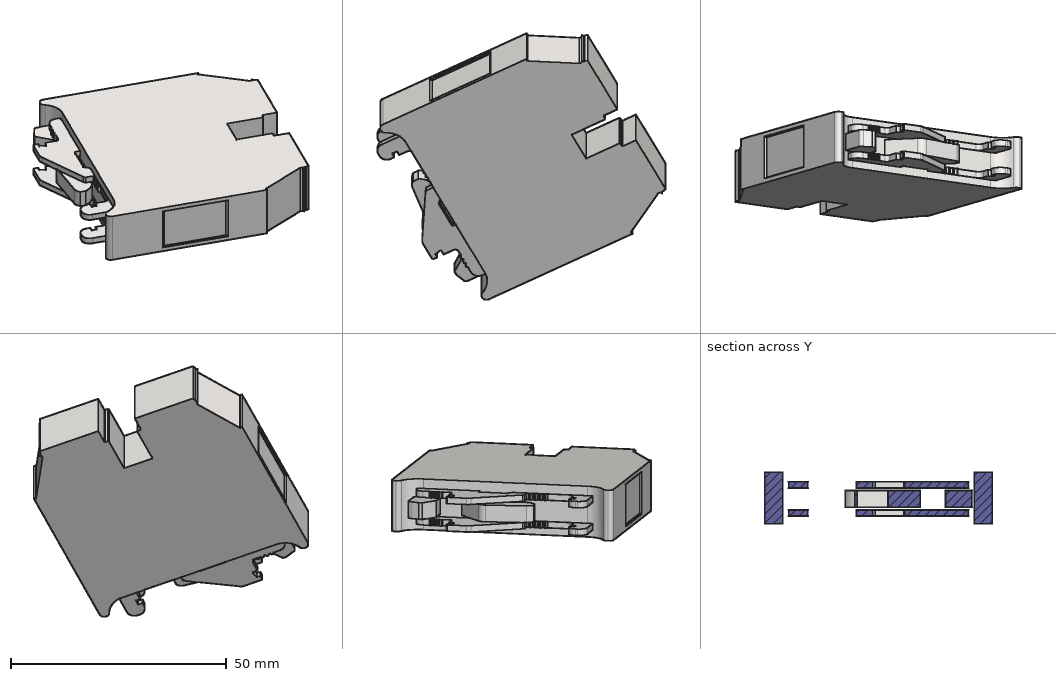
import cadquery as cq


total_height = 57.1
width = 52.8
thickness = 12.0
top_y = 47.5
half_width = width / 2

shoulder_y = top_y - 12.3
shoulder_lip = 0.5
shoulder_groove = 0.2
crown_half_width = 19.65
crown_base_y = top_y - 2.05
bead_low_y = top_y - 1.5
bead_tip_y = top_y - 1.25
bead_high_y = top_y - 0.95
bead_height = 0.45
crown_chamfer_width = 0.2
crown_chamfer_height = 0.6

slot_half_width = 3.6
slot_depth = 12.5
slot_mouth_half_width = 4.6
slot_mouth_depth = 3.65
slot_step_chamfer = 0.2

horn_tip_y = -3.65
horn_radius = 1.15
horn_inner_inset = 2.35
horn_inner_y = -2.85
hollow_radius = 4.9
hollow_end_inset = 6.85

recess_y_min = 9.8
recess_y_max = 25.75
recess_height = 9.95
recess_depth = 0.35
recess_end_taper = 0.45
recess_side_taper = 0.2

foot_plane_z = -0.2
plate_thickness = 1.5
plate_inner_offset = 2.5
latch_thickness = 3.95
root_y = 0.55

plate_half_length = 20.9
rail_y = -0.15
pad_y = -3.25
pad_corner_radius = 2.0
pad_tooth_first_x = -16.95
pad_tooth_count = 3
pad_tooth_base = 0.85
pad_tooth_tip = 0.45
pad_tooth_depth = 0.35
tooth_pitch = 1.2
hook_left = -11.8
hook_corner_radius = 0.8
hook_notch_top_y = -6.7
hook_notch_bottom_y = -8.35
hook_notch_top_x = -10.5
hook_notch_chamfer = 0.2
hook_notch_bottom_x = -10.9
hook_toe_chamfer = 0.3
hook_bottom_y = top_y - total_height
hook_bottom_right = -7.0
ramp_start = (-6.05, -9.25)
hook_corner_blend_radius = 1.8
ramp_end = (4.85, -2.6)
ramp_right = 5.2
ramp_top_y = -2.2
ramp_neck_y = -0.35
rail_tooth_first_x = 6.1
rail_tooth_count = 4
rail_tooth_base = 0.9
rail_tooth_tip = 0.15
rail_tooth_depth = 0.5
lug_left = 16.5
lug_corner_radius = 1.25
lug_notch_top_y = -3.4
lug_notch_bottom_y = -4.7
lug_notch_depth = 1.1
lug_bottom_y = -7.6
lug_tip_radius = 1.95

window_left = -6.05
window_right = 1.8
window_bottom_right = 0.75
window_bottom_y = -1.35
window_chamfer = 0.2

toe_left = -21.7
toe_right = -15.55
toe_side_y = -5.7
toe_arc_mid = (-21.55, -6.1)
toe_arc_end = (-20.95, -6.4)
toe_flat_left = (-18.95, -7.15)
toe_flat_right = (-18.1, -7.15)
toe_slope_top_y = -3.65
tongue_left = -10.4
tongue_root_right = -2.15
tongue_knee_start = (-5.1, -5.65)
tongue_knee_mid = (-4.35, -6.3)
tongue_knee_end = (-3.2, -6.45)
tongue_tip_low = (6.3, -5.3)
tongue_tip_low_mid = (7.25, -4.9)
tongue_tip_right = 7.75
tongue_tip_right_low_y = -4.3
tongue_tip_right_high_y = -2.95
tongue_tip_high_mid = (6.85, -1.65)
tongue_tip_high = (5.35, -0.6)
tongue_crotch_y = -2.4


def mirrored(points):
    """Points reflected across X = 0, in reverse order."""
    return [(-x, y) for x, y in reversed(points)]


def shoulder_profile():
    """Right half of the housing edge, from the slot floor out to the straight side."""
    slot_floor_y = top_y - slot_depth
    mouth_y = top_y - slot_mouth_depth
    return [
        (slot_half_width, slot_floor_y),
        (slot_half_width, mouth_y - slot_step_chamfer),
        (slot_half_width + slot_step_chamfer, mouth_y),
        (slot_mouth_half_width - slot_step_chamfer, mouth_y),
        (slot_mouth_half_width, mouth_y + slot_step_chamfer),
        (slot_mouth_half_width, top_y),
        (crown_half_width - crown_chamfer_width, top_y),
        (crown_half_width, top_y - crown_chamfer_height),
        (crown_half_width, bead_high_y),
        (crown_half_width + bead_height, bead_tip_y),
        (crown_half_width, bead_low_y),
        (crown_half_width, crown_base_y),
        (half_width - shoulder_lip, shoulder_y - shoulder_groove),
        (half_width - shoulder_lip, shoulder_y),
        (half_width, shoulder_y),
    ]


def make_housing():
    right_edge = shoulder_profile()
    side = (half_width, horn_tip_y + horn_radius)
    tip = (half_width - horn_radius, horn_tip_y)
    inner = (half_width - horn_inner_inset, horn_inner_y)
    hollow_end = (half_width - hollow_end_inset, 0)
    hollow_end_left, inner_left, tip_left, side_left = mirrored([side, tip, inner, hollow_end])
    outline = (
        cq.Workplane("XY")
        .polyline(right_edge + [side])
        .radiusArc(tip, horn_radius)
        .radiusArc(inner, horn_radius)
        .radiusArc(hollow_end, -hollow_radius)
        .lineTo(*hollow_end_left)
        .radiusArc(inner_left, -hollow_radius)
        .radiusArc(tip_left, horn_radius)
        .radiusArc(side_left, horn_radius)
    )
    for point in mirrored(right_edge):
        outline = outline.lineTo(*point)
    return outline.close().extrude(thickness / 2, both=True)


def make_label_recess(side):
    """Tapered pocket cutter for the side at X = side * half_width."""
    length = recess_y_max - recess_y_min
    middle_y = (recess_y_min + recess_y_max) / 2
    floor_length = length - 2 * recess_end_taper
    floor_height = recess_height - 2 * recess_side_taper
    return (
        cq.Workplane("YZ", origin=(side * half_width, middle_y, 0))
        .rect(length, recess_height)
        .workplane(offset=-side * recess_depth)
        .rect(floor_length, floor_height)
        .loft(ruled=True)
    )


def teeth(first_x, count, base_y, base_width, tip_width, depth):
    """Corner points of a row of downward teeth, from left to right."""
    points = []
    for i in range(count):
        x = first_x + i * tooth_pitch
        points += [
            (x - base_width / 2, base_y),
            (x - tip_width / 2, base_y - depth),
            (x + tip_width / 2, base_y - depth),
            (x + base_width / 2, base_y),
        ]
    return points


def make_foot_plate(bottom_z):
    pad_teeth = teeth(
        pad_tooth_first_x, pad_tooth_count, pad_y, pad_tooth_base, pad_tooth_tip, pad_tooth_depth
    )
    rail_teeth = teeth(
        rail_tooth_first_x, rail_tooth_count, rail_y, rail_tooth_base, rail_tooth_tip, rail_tooth_depth
    )
    hook = [
        (hook_left, hook_notch_top_y),
        (hook_notch_top_x - hook_notch_chamfer, hook_notch_top_y),
        (hook_notch_top_x, hook_notch_top_y - hook_notch_chamfer),
        (hook_notch_bottom_x, hook_notch_bottom_y),
        (hook_left, hook_notch_bottom_y),
        (hook_left, hook_bottom_y + hook_toe_chamfer),
        (hook_left + hook_toe_chamfer, hook_bottom_y),
        (hook_bottom_right, hook_bottom_y),
    ]
    ramp_side = [
        (ramp_right, ramp_top_y),
        (ramp_right, ramp_neck_y),
    ]
    lug_side_y = lug_bottom_y + lug_tip_radius
    lug_notch = [
        (lug_left, lug_notch_top_y),
        (lug_left + lug_notch_depth, lug_notch_top_y),
        (lug_left + lug_notch_depth, lug_notch_bottom_y),
        (lug_left, lug_notch_bottom_y),
        (lug_left, lug_side_y),
    ]
    outline = (
        cq.Workplane("XY", origin=(0, 0, bottom_z))
        .moveTo(-plate_half_length, root_y)
        .lineTo(-plate_half_length, pad_y + pad_corner_radius)
        .radiusArc((-plate_half_length + pad_corner_radius, pad_y), -pad_corner_radius)
    )
    for point in pad_teeth:
        outline = outline.lineTo(*point)
    outline = outline.lineTo(hook_left - hook_corner_radius, pad_y)
    outline = outline.radiusArc((hook_left, pad_y - hook_corner_radius), hook_corner_radius)
    for point in hook:
        outline = outline.lineTo(*point)
    outline = outline.radiusArc(ramp_start, -hook_corner_blend_radius).lineTo(*ramp_end)
    for point in ramp_side + rail_teeth:
        outline = outline.lineTo(*point)
    outline = outline.lineTo(lug_left - lug_corner_radius, rail_y)
    outline = outline.radiusArc((lug_left, rail_y - lug_corner_radius), lug_corner_radius)
    for point in lug_notch:
        outline = outline.lineTo(*point)
    plate = (
        outline.radiusArc((lug_left + lug_tip_radius, lug_bottom_y), -lug_tip_radius)
        .lineTo(plate_half_length - lug_tip_radius, lug_bottom_y)
        .radiusArc((plate_half_length, lug_side_y), -lug_tip_radius)
        .lineTo(plate_half_length, root_y)
        .close()
        .extrude(plate_thickness)
    )
    window = (
        cq.Workplane("XY", origin=(0, 0, bottom_z))
        .polyline([
            (window_left, 0),
            (window_left, window_bottom_y + window_chamfer),
            (window_left + window_chamfer, window_bottom_y),
            (window_bottom_right, window_bottom_y),
            (window_right, 0),
        ])
        .close()
        .extrude(plate_thickness)
    )
    return plate.cut(window)


def make_latch(bottom_z):
    plane = cq.Workplane("XY", origin=(0, 0, bottom_z))
    toe = (
        plane.moveTo(toe_left, root_y)
        .lineTo(toe_left, toe_side_y)
        .threePointArc(toe_arc_mid, toe_arc_end)
        .lineTo(*toe_flat_left)
        .lineTo(*toe_flat_right)
        .lineTo(toe_right, toe_slope_top_y)
        .lineTo(toe_right, root_y)
        .close()
        .extrude(latch_thickness)
    )
    tongue = (
        plane.moveTo(tongue_left, root_y)
        .lineTo(tongue_left, 0)
        .lineTo(*tongue_knee_start)
        .threePointArc(tongue_knee_mid, tongue_knee_end)
        .lineTo(*tongue_tip_low)
        .threePointArc(tongue_tip_low_mid, (tongue_tip_right, tongue_tip_right_low_y))
        .lineTo(tongue_tip_right, tongue_tip_right_high_y)
        .threePointArc(tongue_tip_high_mid, tongue_tip_high)
        .lineTo(tongue_root_right, tongue_crotch_y)
        .lineTo(tongue_root_right, root_y)
        .close()
        .extrude(latch_thickness)
    )
    return toe.union(tongue)


result = make_housing()
for side in (-1, 1):
    result = result.cut(make_label_recess(side))
upper_plate_z = foot_plane_z + plate_inner_offset
lower_plate_z = foot_plane_z - plate_inner_offset - plate_thickness
for plate_z in (lower_plate_z, upper_plate_z):
    result = result.union(make_foot_plate(plate_z))
result = result.union(make_latch(foot_plane_z - latch_thickness / 2))